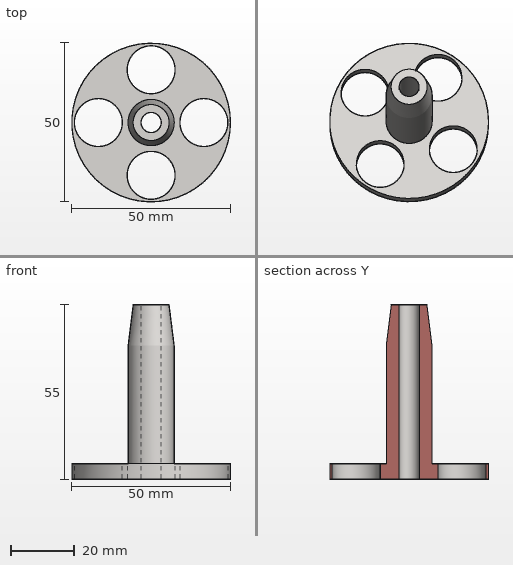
import cadquery as cq

total_height = 55.0

flange_diameter = 50.0
flange_thickness = 5.0
window_count = 4
window_diameter = 15.0
window_circle_radius = 16.6

stem_diameter = 14.6
tip_diameter = 11.35
tip_length = 13.0
bore_diameter = 6.25


def make_flange():
    """Round base plate with evenly spaced through windows."""
    plate = cq.Workplane("XY").circle(flange_diameter / 2).extrude(flange_thickness)
    windows = (
        cq.Workplane("XY")
        .polarArray(window_circle_radius, 0, 360, window_count)
        .circle(window_diameter / 2)
        .extrude(flange_thickness)
    )
    return plate.cut(windows)


def make_stem():
    """Cylinder from the base, tapering towards the top, as a revolved half profile."""
    return (
        cq.Workplane("XZ")
        .moveTo(0, 0)
        .lineTo(stem_diameter / 2, 0)
        .lineTo(stem_diameter / 2, total_height - tip_length)
        .lineTo(tip_diameter / 2, total_height)
        .lineTo(0, total_height)
        .close()
        .revolve(360, (0, 0, 0), (0, 1, 0))
    )


def make_bore():
    """Straight hole through the full height."""
    return cq.Workplane("XY").circle(bore_diameter / 2).extrude(total_height)


result = make_flange().union(make_stem()).cut(make_bore())